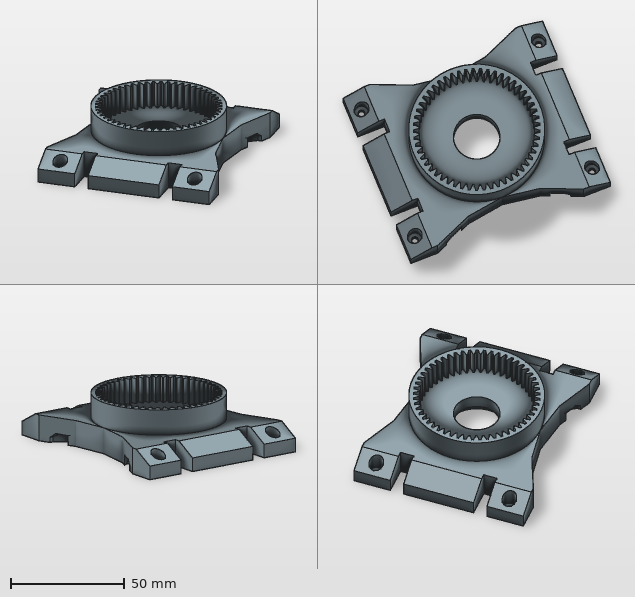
import cadquery as cq
import math

LENGTH = 95.0
WIDTH = 80.0
HEIGHT = 23.4
BASE_TOP = 11.9
WAIST_HALF_WIDTH = 30.0
KINK_X = 32.6
KINK_Y = 17.2
EAR_INNER_Y = 34.8
SLOPE_START_Y = 37.4
EDGE_HEIGHT = 6.3

NOTCH_INNER_X = 16.5
NOTCH_OUTER_X = 22.8

SCREW_X = 31.4
SCREW_Y = 42.2
SCREW_RADIUS = 1.5
SCREW_HEAD_RADIUS = 3.2
SCREW_SEAT_Z = 3.0

RING_RADIUS = WAIST_HALF_WIDTH
TOOTH_COUNT = 53
TOOTH_TIP_RADIUS = 25.5
TOOTH_ROOT_RADIUS = 28.0
TIP_WIDTH = 0.6
ROOT_WIDTH = 0.9

BORE_RADIUS = 10.3
CAVITY_TOP = 5.8
CAVITY_RADIUS = 16.15
LIP_RADIUS = 14.6
LIP_HEIGHT = 1.4

CHANNEL_ANGLE = 35.8
CHANNEL_WIDTH = 5.9
CHANNEL_TOP = 4.5
CHANNEL_LENGTH = 57.0
RAMP_FOOT_RADIUS = 37.2
RAMP_RUN = 3.1

MOUTH_OUTER_Y = 29.6
MOUTH_BEVEL_WIDTH = 2.7
MOUTH_BEVEL_HEIGHT = 2.1


def polar(radius, angle):
    return (radius * math.cos(angle), radius * math.sin(angle))


def make_base():
    """Waisted plate with both ends sloping down to a low edge."""
    half_length = LENGTH / 2
    half_width = WIDTH / 2
    right_side = [
        (half_width, -half_length),
        (half_width, -EAR_INNER_Y),
        (KINK_X, -KINK_Y),
        (WAIST_HALF_WIDTH, 0),
        (KINK_X, KINK_Y),
        (half_width, EAR_INNER_Y),
        (half_width, half_length),
    ]
    left_side = [(-x, y) for x, y in reversed(right_side)]
    plan = cq.Workplane("XY").polyline(right_side + left_side).close().extrude(BASE_TOP)
    side_profile = [
        (-half_length, 0),
        (half_length, 0),
        (half_length, EDGE_HEIGHT),
        (SLOPE_START_Y, BASE_TOP),
        (-SLOPE_START_Y, BASE_TOP),
        (-half_length, EDGE_HEIGHT),
    ]
    sloped = cq.Workplane("YZ").polyline(side_profile).close().extrude(half_width, both=True)
    return plan.intersect(sloped)


def make_notches():
    """Square notches that split each end into two ears and a middle tongue."""
    depth = LENGTH / 2 - EAR_INNER_Y
    centre_x = (NOTCH_INNER_X + NOTCH_OUTER_X) / 2
    centre_y = EAR_INNER_Y + depth / 2
    return (
        cq.Workplane("XY")
        .rect(2 * centre_x, 2 * centre_y, forConstruction=True)
        .vertices()
        .rect(NOTCH_OUTER_X - NOTCH_INNER_X, depth)
        .extrude(BASE_TOP)
    )


def make_screw_holes():
    """Through holes in the four ears, with flat seats for the screw heads."""

    def pins(radius, bottom):
        return (
            cq.Workplane("XY", origin=(0, 0, bottom))
            .rect(2 * SCREW_X, 2 * SCREW_Y, forConstruction=True)
            .vertices()
            .circle(radius)
            .extrude(BASE_TOP - bottom)
        )

    return pins(SCREW_RADIUS, 0).union(pins(SCREW_HEAD_RADIUS, SCREW_SEAT_Z))


def make_ring_gear():
    """Ring with straight-flanked internal teeth, one tooth pointing along +Y."""
    pitch = 2 * math.pi / TOOTH_COUNT
    half_tip = TIP_WIDTH / (2 * TOOTH_TIP_RADIUS)
    half_root = ROOT_WIDTH / (2 * TOOTH_ROOT_RADIUS)
    outline = []
    for index in range(TOOTH_COUNT):
        tooth = math.pi / 2 + index * pitch
        gap = tooth + pitch / 2
        outline += [
            polar(TOOTH_TIP_RADIUS, tooth - half_tip),
            polar(TOOTH_TIP_RADIUS, tooth + half_tip),
            polar(TOOTH_ROOT_RADIUS, gap - half_root),
            polar(TOOTH_ROOT_RADIUS, gap + half_root),
        ]
    plane = cq.Workplane("XY", origin=(0, 0, BASE_TOP))
    opening = plane.polyline(outline).close().extrude(HEIGHT - BASE_TOP)
    return plane.circle(RING_RADIUS).extrude(HEIGHT - BASE_TOP).cut(opening)


def make_bore():
    """Central bore that widens into a tapered cavity above a bottom lip."""
    half_profile = [
        (0, 0),
        (LIP_RADIUS, 0),
        (LIP_RADIUS, LIP_HEIGHT),
        (CAVITY_RADIUS, CAVITY_TOP),
        (BORE_RADIUS, CAVITY_TOP),
        (BORE_RADIUS, BASE_TOP),
        (0, BASE_TOP),
    ]
    return cq.Workplane("XZ").polyline(half_profile).close().revolve(360, (0, 0), (0, 1))


def make_channels():
    """Diagonal tunnels over a thin floor that ramps down to the open bottom."""
    floor_profile = [
        (0, LIP_HEIGHT),
        (RAMP_FOOT_RADIUS - RAMP_RUN, LIP_HEIGHT),
        (RAMP_FOOT_RADIUS, 0),
        (CHANNEL_LENGTH, 0),
        (CHANNEL_LENGTH, CHANNEL_TOP),
        (0, CHANNEL_TOP),
    ]
    mouth_limit = [
        (-MOUTH_OUTER_Y, 0),
        (MOUTH_OUTER_Y, 0),
        (MOUTH_OUTER_Y, CHANNEL_TOP - MOUTH_BEVEL_HEIGHT),
        (MOUTH_OUTER_Y - MOUTH_BEVEL_WIDTH, CHANNEL_TOP),
        (-MOUTH_OUTER_Y, CHANNEL_TOP),
    ]
    passage = cq.Workplane("XZ").polyline(floor_profile).close().extrude(CHANNEL_WIDTH / 2, both=True)
    allowed = cq.Workplane("YZ").polyline(mouth_limit).close().extrude(CHANNEL_LENGTH)
    channel = passage.rotate((0, 0, 0), (0, 0, 1), CHANNEL_ANGLE).intersect(allowed)
    pair = channel.union(channel.mirror("XZ"))
    return pair.union(pair.mirror("YZ"))


result = (
    make_base()
    .cut(make_notches())
    .cut(make_screw_holes())
    .union(make_ring_gear())
    .cut(make_bore())
    .cut(make_channels())
)